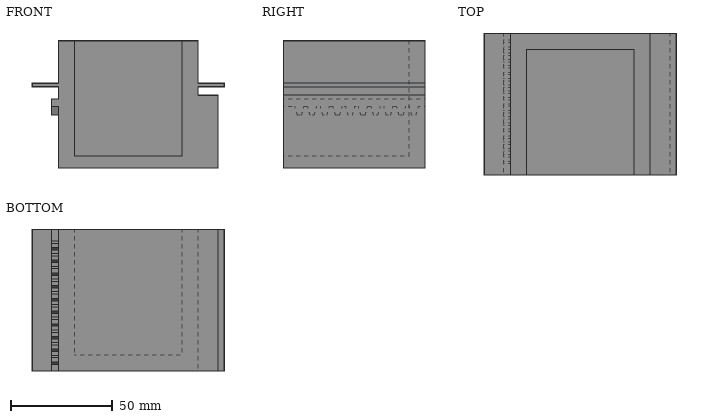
import cadquery as cq

overall_width = 95.0
depth = 70.0
height = 63.0

flange_reach = 13.0
wall = 8.0
floor = 6.0
box_width = overall_width - 2 * flange_reach
box_side = box_width / 2

flange_thickness = 1.8
flange_top = height - 21.1

block_width = 9.9
block_height = 36.0

rack_width = 3.5
rack_bar_height = 3.9
rack_top = height - 28.8
tooth_count = 10
tooth_span = 56.5
tooth_pitch = tooth_span / (tooth_count - 1)
tooth_height = 4.2
tooth_root_width = 4.5
tooth_tip_width = 2.1
tooth_row_centre = 1.1


def slab(x_start, x_end, z_start, z_end):
    """Full-depth rectangular bar, centred on Y."""
    return cq.Workplane("XY").box(
        x_end - x_start, depth, z_end - z_start, centered=(False, True, False)
    ).translate((x_start, 0, z_start))


def make_box():
    body = slab(-box_side, box_side, 0, height)
    cavity = cq.Workplane("XY").box(
        box_width - 2 * wall, depth - wall, height - floor, centered=(True, False, False)
    ).translate((0, -depth / 2, floor))
    return body.cut(cavity)


def make_tooth(y_centre):
    """Tapered tooth hanging from the rack bar."""
    root_z = rack_top - rack_bar_height
    tip_z = root_z - tooth_height
    return (
        cq.Workplane("YZ", origin=(-box_side - rack_width, y_centre, 0))
        .moveTo(-tooth_root_width / 2, root_z)
        .lineTo(tooth_root_width / 2, root_z)
        .lineTo(tooth_tip_width / 2, tip_z)
        .lineTo(-tooth_tip_width / 2, tip_z)
        .close()
        .extrude(rack_width)
    )


def make_rack():
    rack = slab(-box_side - rack_width, -box_side, rack_top - rack_bar_height, rack_top)
    first_tooth = tooth_row_centre - tooth_span / 2
    for index in range(tooth_count):
        rack = rack.union(make_tooth(first_tooth + index * tooth_pitch))
    return rack


flange_bottom = flange_top - flange_thickness
left_flange = slab(-overall_width / 2, -box_side, flange_bottom, flange_top)
right_flange = slab(box_side, overall_width / 2, flange_bottom, flange_top)
side_block = slab(box_side, box_side + block_width, 0, block_height)

result = make_box().union(left_flange).union(right_flange).union(side_block).union(make_rack())